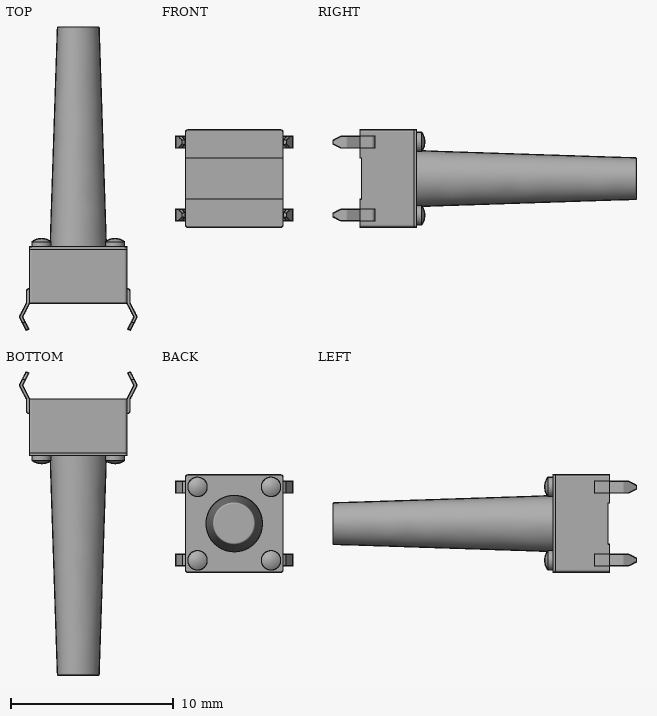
import cadquery as cq
import math

case_side = 6.0
case_height = 3.49
corner_radius = 0.17
plate_thickness = 0.17
base_height = case_height - plate_thickness

channel_width = 2.52
channel_depth = 0.1

total_length = 18.65
lead_reach = 1.66
plunger_tip_y = total_length - lead_reach
plunger_root_radius = 1.73
plunger_tip_radius = 1.29
plunger_tip_fillet = 0.1

rivet_offset = 2.25
rivet_radius = 0.6
rivet_wall_height = 0.3
rivet_dome_height = 0.2

lead_span = 7.2
lead_offset = 2.24
lead_width = 0.73
lead_thickness = 0.19
lead_top_y = 0.91
lead_bend_y = 0.02
lead_angle = math.radians(27)
lead_taper_length = 0.48
lead_tip_width = 0.22

corner_signs = [(x, z) for x in (-1, 1) for z in (-1, 1)]


def square_block(start_y, height):
    """Square block along +Y with rounded long edges."""
    block = cq.Workplane("XZ", origin=(0, start_y, 0)).rect(case_side, case_side).extrude(-height)
    return block.edges("|Y").fillet(corner_radius)


def make_plunger():
    """Tapered round stem from the plate to the rounded tip."""
    profile = (
        cq.Workplane("XY")
        .moveTo(0, case_height)
        .lineTo(plunger_root_radius, case_height)
        .lineTo(plunger_tip_radius, plunger_tip_y)
        .lineTo(0, plunger_tip_y)
        .close()
    )
    return profile.revolve(360, (0, 0, 0), (0, 1, 0)).faces(">Y").edges().fillet(plunger_tip_fillet)


def make_rivet(x, z):
    """Cylinder with a spherical cap, standing on the plate."""
    wall_top = case_height + rivet_wall_height
    dome_top = wall_top + rivet_dome_height
    dome_radius = (rivet_radius**2 + rivet_dome_height**2) / (2 * rivet_dome_height)
    half_angle = math.asin(rivet_radius / dome_radius) / 2
    mid_x = dome_radius * math.sin(half_angle)
    mid_y = dome_top - dome_radius * (1 - math.cos(half_angle))
    profile = (
        cq.Workplane("XY")
        .moveTo(0, case_height)
        .lineTo(rivet_radius, case_height)
        .lineTo(rivet_radius, wall_top)
        .threePointArc((mid_x, mid_y), (0, dome_top))
        .close()
    )
    return profile.revolve(360, (0, 0, 0), (0, 1, 0)).translate((x, 0, z))


def make_base():
    """Plain block with a shallow channel across its underside."""
    channel = cq.Workplane("XY").box(case_side, 2 * channel_depth, channel_width)
    return square_block(0, base_height).cut(channel)


def make_cap():
    """Square plate flush with the base, carrying the plunger and the rivet heads."""
    cap = square_block(base_height, plate_thickness).union(make_plunger())
    for x, z in corner_signs:
        cap = cap.union(make_rivet(x * rivet_offset, z * rivet_offset))
    return cap


def make_lead(side, z):
    """Bent strip with a pointed tip; side is -1 or 1 along X."""
    wall_x = case_side / 2
    outer_x = wall_x + lead_thickness
    slope = math.tan(lead_angle)
    knee_x = lead_span / 2 + lead_thickness * (1 / math.cos(lead_angle) - 1)
    knee_y = lead_bend_y - (knee_x - outer_x) / slope
    inner_knee_x = knee_x - lead_thickness / math.cos(lead_angle)
    inner_bend_y = lead_bend_y - lead_thickness * math.tan(lead_angle / 2)
    tip_outer_x = knee_x - (knee_y + lead_reach) * slope
    tip_inner_x = tip_outer_x - lead_thickness * math.cos(lead_angle)
    tip_inner_y = -lead_reach + lead_thickness * math.sin(lead_angle)

    strip = (
        cq.Workplane("XY", origin=(0, 0, -lead_width / 2))
        .moveTo(wall_x, lead_top_y)
        .radiusArc((outer_x, lead_top_y - lead_thickness), lead_thickness)
        .lineTo(outer_x, lead_bend_y)
        .lineTo(knee_x, knee_y)
        .lineTo(tip_outer_x, -lead_reach)
        .lineTo(tip_inner_x, tip_inner_y)
        .lineTo(inner_knee_x, knee_y)
        .lineTo(wall_x, inner_bend_y)
        .close()
        .extrude(lead_width)
    )
    strip = strip.edges(cq.selectors.NearestToPointSelector((knee_x, knee_y, 0))).fillet(lead_thickness)

    taper_y = lead_taper_length - lead_reach
    outline = (
        cq.Workplane("YZ")
        .polyline([
            (lead_top_y, -lead_width / 2),
            (lead_top_y, lead_width / 2),
            (taper_y, lead_width / 2),
            (-lead_reach, lead_tip_width / 2),
            (-lead_reach, -lead_tip_width / 2),
            (taper_y, -lead_width / 2),
        ])
        .close()
        .extrude(lead_span)
    )
    lead = strip.intersect(outline)
    if side < 0:
        lead = lead.mirror("YZ")
    return lead.translate((0, 0, z))


base = make_base()
cap = make_cap()
leads = [make_lead(x, z * lead_offset) for x, z in corner_signs]

result = cq.Compound.makeCompound([base.val(), cap.val(), *[lead.val() for lead in leads]])